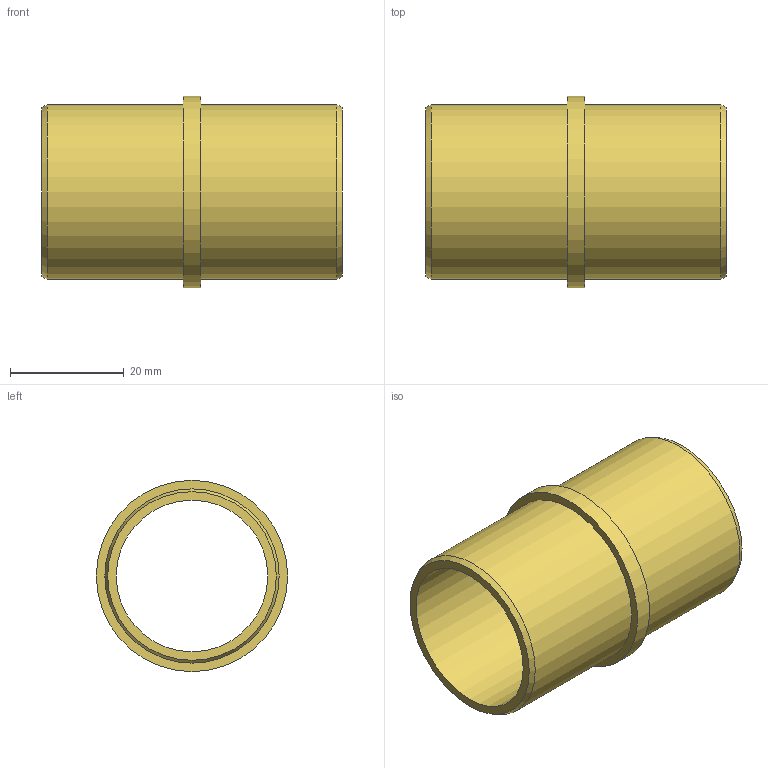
import cadquery as cq

total_length = 53.0
collar_diameter = 33.7
collar_width = 3.0
spigot_diameter = 30.7
bore_diameter = 26.7

taper_length = 1.0
taper_depth = 0.5

half_length = total_length / 2
half_collar = collar_width / 2
collar_radius = collar_diameter / 2
spigot_radius = spigot_diameter / 2
bore_radius = bore_diameter / 2
tip_radius = spigot_radius - taper_depth
taper_start = half_length - taper_length


def connector():
    """Revolve the wall section, given as (X, radius) with the radius along +Z, about the X axis."""
    section = (
        cq.Workplane("XZ")
        .moveTo(-half_length, bore_radius)
        .lineTo(-half_length, tip_radius)
        .lineTo(-taper_start, spigot_radius)
        .lineTo(-half_collar, spigot_radius)
        .lineTo(-half_collar, collar_radius)
        .lineTo(half_collar, collar_radius)
        .lineTo(half_collar, spigot_radius)
        .lineTo(taper_start, spigot_radius)
        .lineTo(half_length, tip_radius)
        .lineTo(half_length, bore_radius)
        .close()
    )
    return section.revolve(360, (0, 0, 0), (1, 0, 0))


result = connector()